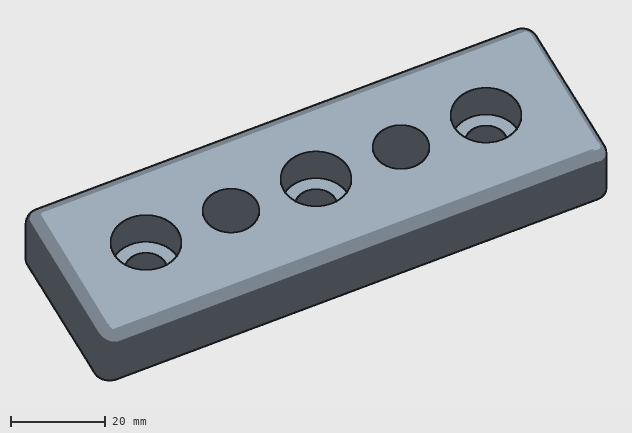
import cadquery as cq

length = 120.0
hole_pitch = length / 6
width = 2 * hole_pitch
height = 15.0
edge_radius = 3.5

screw_hole_diameter = 9.0
counterbore_diameter = 15.0
counterbore_depth = 9.0
plain_hole_diameter = 12.0

counterbored_places = [(0, step * hole_pitch) for step in (-2, 0, 2)]
plain_places = [(0, step * hole_pitch) for step in (-1, 1)]

block = (
    cq.Workplane("XY")
    .box(width, length, height, centered=(True, True, False))
    .edges("|Z or >Z")
    .fillet(edge_radius)
)

block = (
    block.faces(">Z")
    .workplane(origin=(0, 0, height))
    .pushPoints(counterbored_places)
    .cboreHole(screw_hole_diameter, counterbore_diameter, counterbore_depth)
)

result = (
    block.faces(">Z")
    .workplane(origin=(0, 0, height))
    .pushPoints(plain_places)
    .hole(plain_hole_diameter)
)